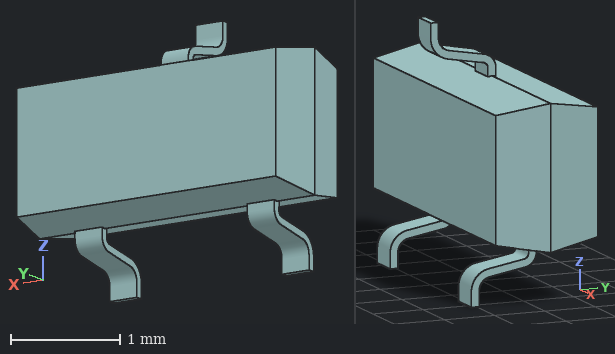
import cadquery as cq
import math

body_length = 3.04
body_height = 1.398
body_depth = 1.018
draft_angle = 10.0

lead_width = 0.3
lead_thickness = 0.08
lead_pitch = 1.9
lead_span = 2.48
lead_embed = 0.182
foot_standoff = 0.1
foot_length = 0.145
leg_slope = 10.0
inner_bend_radius = 0.095
foot_bend_radius = 0.167


def make_body():
    """Two tapered halves that meet at their widest section, on Y = 0."""
    def half(distance):
        section = cq.Workplane("XZ").rect(body_length, body_height)
        return section.extrude(distance, taper=draft_angle)

    return half(body_depth / 2).union(half(-body_depth / 2))


def make_lower_lead(x):
    """Gull-wing lead of constant thickness, leaving the body downward."""
    slope = math.radians(leg_slope)
    sweep_angle = math.pi / 2 - slope
    foot_y = -(body_depth / 2 + foot_standoff - lead_thickness / 2)
    tip_z = -lead_span / 2
    foot_top_z = tip_z + foot_length

    def bend_point(y, z, radius, angle):
        return (y + radius * math.cos(angle), z + radius * math.sin(angle))

    foot_center = (foot_y + foot_bend_radius, foot_top_z)
    foot_mid = bend_point(*foot_center, foot_bend_radius, math.pi - sweep_angle / 2)
    leg_end = bend_point(*foot_center, foot_bend_radius, math.pi - sweep_angle)

    leg_start_y = -inner_bend_radius * (1 - math.cos(sweep_angle))
    leg_start_z = leg_end[1] + (leg_start_y - leg_end[0]) * math.tan(slope)
    stem_z = leg_start_z + inner_bend_radius * math.sin(sweep_angle)
    stem_center = (-inner_bend_radius, stem_z)
    stem_mid = bend_point(*stem_center, inner_bend_radius, -sweep_angle / 2)

    stem_top = -body_height / 2 + lead_embed
    path = (
        cq.Workplane("YZ", origin=(x, 0, 0))
        .moveTo(0, stem_top)
        .lineTo(0, stem_z)
        .threePointArc(stem_mid, (leg_start_y, leg_start_z))
        .lineTo(*leg_end)
        .threePointArc(foot_mid, (foot_y, foot_top_z))
        .lineTo(foot_y, tip_z)
    )
    section = cq.Workplane("XY", origin=(x, 0, stem_top)).rect(lead_width, lead_thickness)
    return section.sweep(path)


result = make_body()
for lead_x in (-lead_pitch / 2, lead_pitch / 2):
    result = result.union(make_lower_lead(lead_x))
result = result.union(make_lower_lead(0).mirror("XY"))